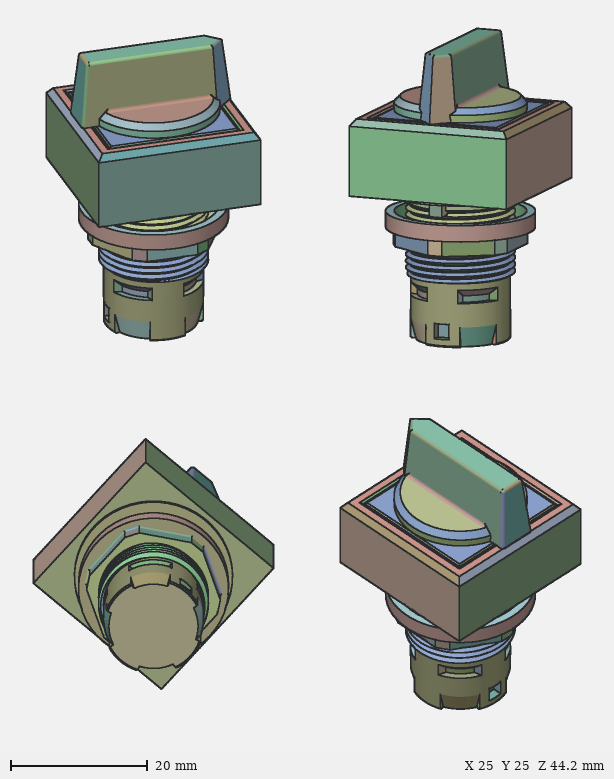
import cadquery as cq
import math

pick_margin = 0.05

notch_top = 3.05
thread_bottom = 9.7
nut_bottom = 14.1
washer_bottom = 16.6
washer_top = 19.05
collar_bottom = 20.6
flange_bottom = 22.08
bezel_bottom = 22.55
bezel_top = 34.05
knob_bottom = 34.17
knob_top = 36.2
overall_height = 44.15

barrel_radius = 14.65 / 2
barrel_chamfer = 0.2
thread_radius = 16.1 / 2
thread_turns = 11
thread_pitch = (collar_bottom - thread_bottom) / thread_turns
thread_start = thread_bottom - 1.2 * thread_pitch
thread_embed = 0.1
ridge_half_width = 0.47 * thread_pitch
window_floor_radius = 6.3
pocket_overrun = 0.45
diagonals = (45, 135, 225, 315)

window_bottom = 6.62
window_floor_height = 0.95
window_outer_width = 6.35
window_floor_width = 4.15
notch_outer_width = 5.83
notch_floor_width = 4.85
notch_floor_radius = 6.55

socket_side = 2.3
socket_center_z = 2.3
socket_depth = 1.5

washer_radius = 22.0 / 2
nut_across_flats = 18.0
nut_across_corner_flats = 19.5
nut_root_fillet = 0.3
washer_recess_radius = 9.7
washer_recess_depth = 2.2
flange_radius = 23.2 / 2
tab_width = 2.0
tab_reach = 9.6
tab_height = 2.2

bezel_side = 24.95
bezel_chamfer_in = 0.8
bezel_chamfer_down = 1.0
groove_outer_side = 20.93
groove_outer_bevel = 0.4
groove_inner_side = 19.35
groove_inner_bevel = 0.25
groove_depth = 0.2

stem_radius = 8.85
knob_radius = 19.5 / 2
knob_chamfer = 0.93
handle_base_half_width = 3.0
handle_top_half_width = 2.05
handle_base_shoulder = 8.87
handle_top_shoulder = 8.48
handle_base_back = -11.9
handle_top_back = -10.95
handle_edge_fillet = 0.45
handle_root_fillet = 0.5


def disc(radius, bottom, top):
    return cq.Workplane("XY").workplane(offset=bottom).circle(radius).extrude(top - bottom)


def square_frustum(bottom_side, top_side, bottom, top):
    return (
        cq.Workplane("XY").workplane(offset=bottom).rect(bottom_side, bottom_side)
        .workplane(offset=top - bottom).rect(top_side, top_side)
        .loft(ruled=True)
    )


def ring_segment(profile, outline):
    """Revolve an (r, z) profile and keep the part above a plan outline."""
    ring = cq.Workplane("XZ").polyline(profile).close().revolve(360, (0, 0), (0, 1))
    return ring.intersect(cq.Workplane("XY").polyline(outline).close().extrude(thread_bottom))


def flared_outline(floor_radius, floor_width, outer_width):
    """Plan outline of a pocket facing +X whose side walls open out toward the barrel surface."""
    floor_x = math.sqrt(floor_radius**2 - (floor_width / 2) ** 2)
    outer_x = math.sqrt(barrel_radius**2 - (outer_width / 2) ** 2)
    flare = (outer_width - floor_width) / 2 / (outer_x - floor_x)
    inner_x = floor_x - pocket_overrun
    inner_half = floor_width / 2 - flare * pocket_overrun
    reach = barrel_radius + pocket_overrun
    outer_half = outer_width / 2 + flare * (reach - outer_x)
    return [(inner_x, -inner_half), (reach, -outer_half), (reach, outer_half), (inner_x, inner_half)]


def make_thread():
    """V-shaped helical ridge wound round the barrel, trimmed flat at both ends."""
    ridge_base = barrel_radius - thread_embed
    path = cq.Wire.makeHelix(
        thread_pitch, (thread_turns + 2) * thread_pitch, ridge_base, center=cq.Vector(0, 0, thread_start)
    )
    ridge = (
        cq.Workplane("XZ")
        .polyline([
            (ridge_base, thread_start - ridge_half_width),
            (thread_radius, thread_start),
            (ridge_base, thread_start + ridge_half_width),
        ])
        .close()
        .sweep(cq.Workplane(path), isFrenet=True)
    )
    return ridge.intersect(disc(2 * thread_radius, thread_bottom, collar_bottom))


def make_window():
    """Pocket facing +X with a flat bottom, flared sides and a 45 degree conical ceiling."""
    floor_top = window_bottom + window_floor_height
    reach = barrel_radius + pocket_overrun
    profile = [
        (window_floor_radius, window_bottom),
        (reach, window_bottom),
        (reach, floor_top + reach - window_floor_radius),
        (window_floor_radius, floor_top),
    ]
    outline = flared_outline(window_floor_radius, window_floor_width, window_outer_width)
    return ring_segment(profile, outline)


def make_notch():
    """End notch facing +X whose conical floor runs in from the barrel surface to the lower end."""
    reach = barrel_radius + pocket_overrun
    profile = [(notch_floor_radius, 0), (reach, 0), (reach, notch_top), (barrel_radius, notch_top)]
    outline = flared_outline(notch_floor_radius, notch_floor_width, notch_outer_width)
    return ring_segment(profile, outline)


def make_barrel():
    barrel = disc(barrel_radius, 0, flange_bottom).faces("<Z").chamfer(barrel_chamfer)
    barrel = barrel.union(make_thread())
    window = make_window()
    notch = make_notch()
    for angle in diagonals:
        barrel = barrel.cut(window.rotate((0, 0, 0), (0, 0, 1), angle))
        barrel = barrel.cut(notch.rotate((0, 0, 0), (0, 0, 1), angle))
    for side in (-1, 1):
        socket = cq.Workplane("XY").box(socket_side, 2 * socket_depth, socket_side)
        barrel = barrel.cut(socket.translate((0, side * barrel_radius, socket_center_z)))
    return barrel


def make_nut():
    """Hexagon with trimmed corners, flats facing +X and -X, under a recessed round washer."""
    height = washer_bottom - nut_bottom
    plane = cq.Workplane("XY").workplane(offset=nut_bottom)
    hexagon = plane.polygon(6, nut_across_flats, circumscribed=True).extrude(height)
    trim = plane.polygon(6, nut_across_corner_flats, circumscribed=True).extrude(height)
    trim = trim.rotate((0, 0, 0), (0, 0, 1), 30)
    nut = hexagon.intersect(trim).union(disc(washer_radius, washer_bottom, washer_top))
    root = cq.selectors.BoxSelector(
        (-washer_radius, -washer_radius, washer_bottom - pick_margin),
        (washer_radius, washer_radius, washer_bottom + pick_margin),
    )
    nut = nut.edges(root).edges("%LINE").fillet(nut_root_fillet)
    return nut.cut(disc(washer_recess_radius, washer_top - washer_recess_depth, washer_top))


def make_tab():
    tab = cq.Workplane("XY").box(tab_width, tab_reach, tab_height, centered=(True, False, False))
    return tab.translate((0, 0, flange_bottom - tab_height))


def make_bezel():
    chamfer_bottom = bezel_top - bezel_chamfer_down
    body = cq.Workplane("XY").workplane(offset=bezel_bottom).rect(bezel_side, bezel_side)
    body = body.extrude(chamfer_bottom - bezel_bottom)
    body = body.union(
        square_frustum(bezel_side, bezel_side - 2 * bezel_chamfer_in, chamfer_bottom, bezel_top)
    )
    groove_bottom = bezel_top - groove_depth
    groove = square_frustum(
        groove_outer_side - 2 * groove_outer_bevel, groove_outer_side, groove_bottom, bezel_top
    )
    panel = square_frustum(
        groove_inner_side + 2 * groove_inner_bevel, groove_inner_side, groove_bottom, bezel_top
    )
    return body.cut(groove).union(panel)


def handle_outline(half_width, shoulder, back):
    """Plan outline of the handle: straight sides and a right-angled point toward +Y."""
    return [
        (-half_width, back),
        (half_width, back),
        (half_width, shoulder),
        (0, shoulder + half_width),
        (-half_width, shoulder),
    ]


def make_knob():
    handle = (
        cq.Workplane("XY").workplane(offset=knob_bottom)
        .polyline(handle_outline(handle_base_half_width, handle_base_shoulder, handle_base_back)).close()
        .workplane(offset=overall_height - knob_bottom)
        .polyline(handle_outline(handle_top_half_width, handle_top_shoulder, handle_top_back)).close()
        .loft(ruled=True)
    )
    back_edges = cq.selectors.BoxSelector(
        (-handle_base_half_width, handle_base_back, knob_bottom + pick_margin),
        (handle_base_half_width, handle_top_back, overall_height - pick_margin),
    )
    handle = handle.edges(back_edges).fillet(handle_edge_fillet)
    handle = handle.faces(">Z").edges().fillet(handle_edge_fillet)

    dial = disc(knob_radius, knob_bottom, knob_top).faces(">Z").chamfer(knob_chamfer)
    root_edges = cq.selectors.BoxSelector(
        (-handle_base_half_width, -pick_margin, knob_top - pick_margin),
        (handle_base_half_width, pick_margin, knob_top + pick_margin),
    )
    knob = dial.union(handle).edges(root_edges).fillet(handle_root_fillet)
    return knob.union(disc(stem_radius, bezel_top, knob_bottom))


result = (
    make_barrel()
    .union(make_nut())
    .union(disc(thread_radius, collar_bottom, flange_bottom))
    .union(make_tab())
    .union(disc(flange_radius, flange_bottom, bezel_bottom))
    .union(make_bezel())
    .union(make_knob())
)